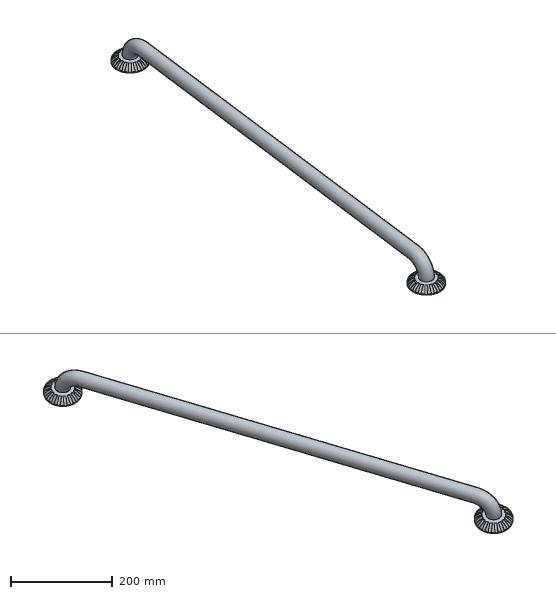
import cadquery as cq
import math

length = 991.0
height = 70.0

tube_diameter = 32.0
bend_radius = 40.0
tube_radius = tube_diameter / 2
tube_axis_height = height - tube_radius
bend_start_height = tube_axis_height - bend_radius

flange_diameter = 76.0
flange_height = 16.0
rim_height = 3.0
flange_top_radius = 20.0
flange_radius = flange_diameter / 2
dome_mid_radius = 31.0
dome_mid_height = 11.0
flange_offset = length / 2 - flange_radius

flute_count = 18
flute_radius = 3.0
flute_inner_radius = 25.0
flute_inner_height = 16.0
flute_outer_height = 5.0
flute_overrun = 8.0


def make_tube():
    """Straight bar with a quarter bend down to a flange at each end."""
    straight_end = flange_offset - bend_radius
    mid_drop = bend_radius * (1 - math.sqrt(0.5))
    path = (
        cq.Workplane("XZ")
        .moveTo(-flange_offset, 0)
        .lineTo(-flange_offset, bend_start_height)
        .threePointArc(
            (-flange_offset + mid_drop, tube_axis_height - mid_drop),
            (-straight_end, tube_axis_height),
        )
        .lineTo(straight_end, tube_axis_height)
        .threePointArc(
            (flange_offset - mid_drop, tube_axis_height - mid_drop),
            (flange_offset, bend_start_height),
        )
        .lineTo(flange_offset, 0)
    )
    return cq.Workplane("XY").center(-flange_offset, 0).circle(tube_radius).sweep(path)


def make_flute():
    """Round cutter sloping down along the dome, from its shoulder out past the rim."""
    run = flange_radius - flute_inner_radius
    drop = flute_inner_height - flute_outer_height
    start = cq.Vector(flute_inner_radius, 0, flute_inner_height)
    slope = cq.Vector(run, 0, -drop)
    flute_length = slope.Length + flute_overrun
    return cq.Solid.makeCylinder(flute_radius, flute_length, start, slope)


def make_flange():
    """Domed disc centred on the Z axis, fluted all round."""
    flange = (
        cq.Workplane("XZ")
        .lineTo(flange_radius, 0)
        .lineTo(flange_radius, rim_height)
        .threePointArc((dome_mid_radius, dome_mid_height), (flange_top_radius, flange_height))
        .lineTo(0, flange_height)
        .close()
        .revolve(360, (0, 0), (0, 1))
    )
    flute = make_flute()
    for index in range(flute_count):
        angle = index * 360 / flute_count
        flange = flange.cut(cq.Workplane(flute.rotate(cq.Vector(), cq.Vector(0, 0, 1), angle)))
    return flange


flange = make_flange()
result = make_tube()
for side in (-1, 1):
    result = result.union(flange.translate((side * flange_offset, 0, 0)))